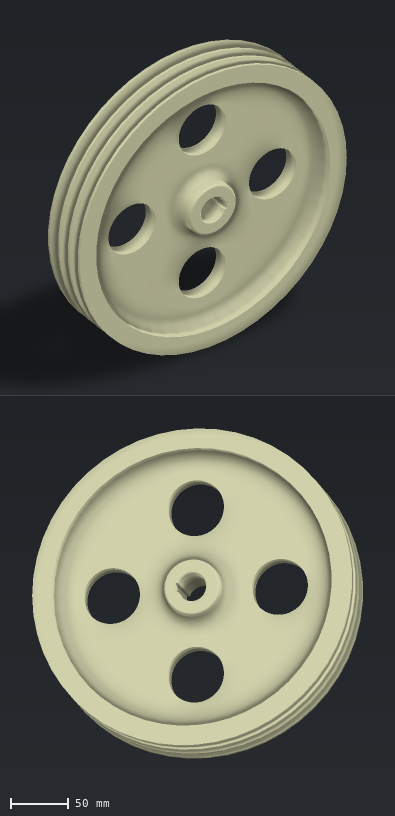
import cadquery as cq

outer_radius = 142.8
rim_width = 48.0

groove_count = 3
groove_pitch = 14.8
groove_top_width = 12.3
groove_floor_width = 5.0
groove_depth = 11.5

web_thickness = 14.8
rim_inner_radius = 125.0
recess_fillet = 10.0
recess_depth = (rim_width - web_thickness) / 2

hub_radius = 25.0
hub_edge_radius = 2.3
bore_radius = 12.5
bore_chamfer = 0.9
keyway_width = 8.0
keyway_reach = 14.8

hole_count = 4
hole_radius = 25.0
hole_circle_radius = 75.0


def left_face_plane():
    """Sketch plane on the -X face, pointing toward +X."""
    return cq.Workplane("YZ", origin=(-rim_width / 2, 0, 0))


def make_blank():
    """Plain disc spanning the full rim width."""
    return left_face_plane().circle(outer_radius).extrude(rim_width)


def make_groove(center_x):
    """Ring with the trapezoidal section of one belt groove."""
    half_top = groove_top_width / 2
    half_floor = groove_floor_width / 2
    floor_radius = outer_radius - groove_depth
    section = [
        (center_x - half_top, outer_radius),
        (center_x - half_floor, floor_radius),
        (center_x + half_floor, floor_radius),
        (center_x + half_top, outer_radius),
    ]
    return cq.Workplane("XY").polyline(section).close().revolve(360, (0, 0, 0), (1, 0, 0))


def make_left_recess():
    """Annular recess in the -X face, rounded at its bottom and at the hub edge."""
    ring = (
        left_face_plane()
        .circle(rim_inner_radius)
        .circle(hub_radius)
        .extrude(recess_depth)
    )
    return ring.faces(">X").edges().fillet(recess_fillet)


def make_bore():
    """Through bore with a chamfered mouth at each end."""
    bore = left_face_plane().circle(bore_radius).extrude(rim_width)
    mouth_radius = bore_radius + bore_chamfer
    for side in (-1, 1):
        mouth = (
            cq.Workplane("YZ", origin=(side * rim_width / 2, 0, 0))
            .circle(mouth_radius)
            .extrude(-side * mouth_radius, taper=45)
        )
        bore = bore.union(mouth)
    return bore


def make_keyway():
    """Through keyway on the +Y side of the bore."""
    return cq.Workplane("XY").box(
        rim_width, keyway_reach, keyway_width, centered=(True, False, True)
    )


def make_holes():
    """Lightening holes evenly spaced around the axis."""
    return (
        left_face_plane()
        .polarArray(hole_circle_radius, 0, 360, hole_count)
        .circle(hole_radius)
        .extrude(rim_width)
    )


left_recess = make_left_recess()
wheel = make_blank().cut(left_recess).cut(left_recess.mirror("YZ"))

hub_edges = cq.selectors.BoxSelector(
    (-rim_width, -2 * hub_radius, -2 * hub_radius),
    (rim_width, 2 * hub_radius, 2 * hub_radius),
    boundingbox=True,
)
for end_face in ("<X", ">X"):
    wheel = wheel.faces(end_face).edges(hub_edges).fillet(hub_edge_radius)

for index in range(groove_count):
    wheel = wheel.cut(make_groove((index - (groove_count - 1) / 2) * groove_pitch))

result = wheel.cut(make_holes()).cut(make_bore()).cut(make_keyway())